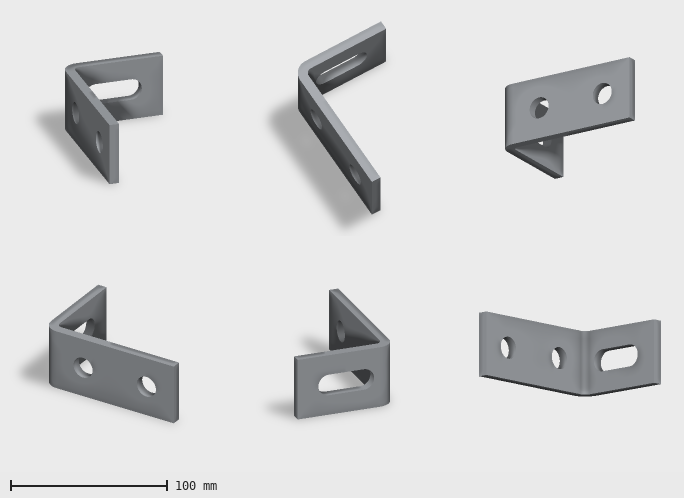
import cadquery as cq

length_x = 98.4
length_y = 66.6
height = 41.2
thickness = 6.4

inner_bend_radius = 3.8
outer_bend_radius = inner_bend_radius + thickness

hole_diameter = 14.3
hole_spacing = 47.6
hole_end_distance = 20.6

slot_length = 38.1
slot_end_distance = 14.3


def bent_strip():
    """L-shaped strip with its outer corner at the origin, centred on Z = 0."""
    outline = (
        cq.Workplane("XY")
        .moveTo(0, 0)
        .lineTo(length_x, 0)
        .lineTo(length_x, thickness)
        .lineTo(thickness, thickness)
        .lineTo(thickness, length_y)
        .lineTo(0, length_y)
        .close()
    )
    strip = outline.extrude(height / 2, both=True)
    strip = strip.edges(cq.selectors.NearestToPointSelector((0, 0, 0))).fillet(outer_bend_radius)
    inner_corner = cq.selectors.NearestToPointSelector((thickness, thickness, 0))
    return strip.edges(inner_corner).fillet(inner_bend_radius)


def long_leg_holes():
    """Cylinders that pass through the leg lying along X."""
    outer_hole_x = length_x - hole_end_distance
    centers = [(outer_hole_x - hole_spacing, 0), (outer_hole_x, 0)]
    return (
        cq.Workplane("XZ")
        .pushPoints(centers)
        .circle(hole_diameter / 2)
        .extrude(-thickness)
    )


def short_leg_slot():
    """Round-ended slot, long in Y, that passes through the leg lying along Y."""
    center_y = length_y - slot_end_distance - slot_length / 2
    return (
        cq.Workplane("YZ")
        .center(center_y, 0)
        .slot2D(slot_length, hole_diameter)
        .extrude(thickness)
    )


result = bent_strip().cut(long_leg_holes()).cut(short_leg_slot())